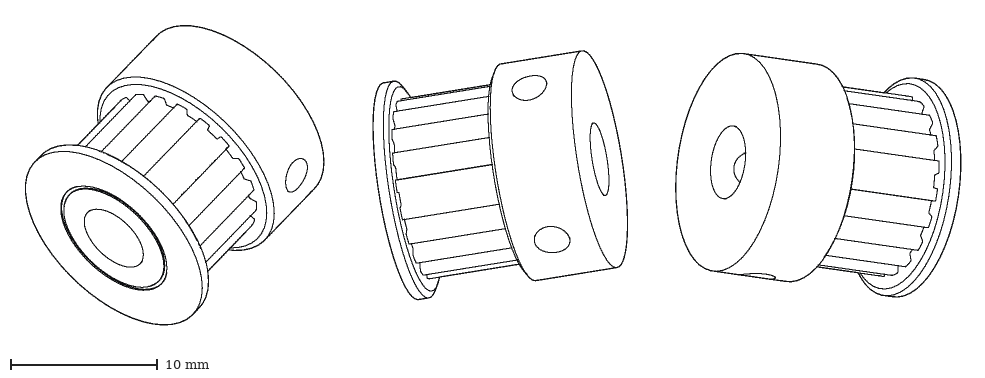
import cadquery as cq

outer_diameter = 14.99
total_length = 14.0
bore_diameter = 5.0

hub_length = 6.0
flange_thickness = 1.0
rim_chamfer_axial = 0.27
rim_chamfer_radial = 0.43

tooth_count = 20
tooth_tip_diameter = 12.41
tooth_root_diameter = 11.21
tooth_width = 0.87
tooth_fillet = 0.09

ring_outer_diameter = 9.0
ring_width = 0.25
ring_depth = 0.1

set_screw_diameter = 2.43
set_screw_spacing_angle = 90.0

pulley_turn = 10.1
set_screw_angles = [pulley_turn, pulley_turn - set_screw_spacing_angle]

outer_radius = outer_diameter / 2
hub_start = total_length - hub_length
belt_length = hub_start - flange_thickness
tooth_pitch_angle = 360 / tooth_count


def disc(diameter, start, length):
    """Cylinder on the pulley axis, from Y = start towards +Y."""
    return cq.Workplane("XZ", origin=(0, start, 0)).circle(diameter / 2).extrude(-length)


def turn_about_axis(shape, angle):
    """Turn a shape about the pulley axis, from +X towards +Z."""
    return shape.rotate((0, 0, 0), (0, 1, 0), -angle)


def rimmed_disc(plain_face, belt_face):
    """Full-diameter disc between two Y positions, chamfered around its belt face."""
    belt_direction = 1 if belt_face > plain_face else -1
    chamfer_start = belt_face - belt_direction * rim_chamfer_axial
    profile = [
        (0, plain_face),
        (outer_radius, plain_face),
        (outer_radius, chamfer_start),
        (outer_radius - rim_chamfer_radial, belt_face),
        (0, belt_face),
    ]
    return cq.Workplane("XY").polyline(profile).close().revolve(360, (0, 0, 0), (0, 1, 0))


def toothed_drum():
    """Belt drum with rounded tooth tips and roots."""
    drum = disc(tooth_root_diameter, flange_thickness, belt_length)
    bar = (
        cq.Workplane("XY", origin=(0, flange_thickness, 0))
        .box(outer_radius, belt_length, tooth_width, centered=(False, False, True))
    )
    for index in range(tooth_count):
        tooth_angle = pulley_turn + (index + 0.5) * tooth_pitch_angle
        drum = drum.union(turn_about_axis(bar, tooth_angle))
    drum = drum.intersect(disc(tooth_tip_diameter, flange_thickness, belt_length))
    return drum.edges("|Y").fillet(tooth_fillet)


def ring_groove():
    ring_inner_diameter = ring_outer_diameter - 2 * ring_width
    return disc(ring_outer_diameter, 0, ring_depth).cut(disc(ring_inner_diameter, 0, ring_depth))


def set_screw_hole(angle):
    """Radial hole from the bore out through the hub."""
    hole = (
        cq.Workplane("YZ", origin=(0, hub_start + hub_length / 2, 0))
        .circle(set_screw_diameter / 2)
        .extrude(outer_radius)
    )
    return turn_about_axis(hole, angle)


flange = rimmed_disc(0, flange_thickness)
hub = rimmed_disc(total_length, hub_start)
result = toothed_drum().union(flange).union(hub)

result = result.cut(disc(bore_diameter, 0, total_length))
result = result.cut(ring_groove())
for screw_angle in set_screw_angles:
    result = result.cut(set_screw_hole(screw_angle))